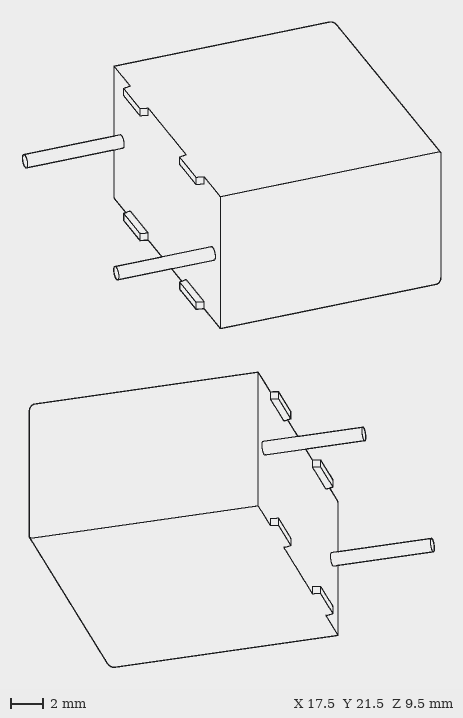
import cadquery as cq

housing_width = 17.5
housing_length = 15.0
housing_height = 9.5
back_fillet = 0.5

foot_pitch = 9.2
foot_root_width = 2.97
foot_tip_width = 2.7
foot_thickness = 0.52
foot_projection = 0.5

overall_length = 21.5
lead_diameter = 0.85
lead_pitch = 15.0
lead_length = overall_length - housing_length


def make_foot(x_center, z_bottom):
    """Tapered foot whose root lies on the terminal face."""
    half_root = foot_root_width / 2
    half_tip = foot_tip_width / 2
    return (
        cq.Workplane("XY", origin=(x_center, 0, z_bottom))
        .moveTo(-half_root, 0)
        .lineTo(-half_tip, -foot_projection)
        .lineTo(half_tip, -foot_projection)
        .lineTo(half_root, 0)
        .close()
        .extrude(foot_thickness)
    )


def make_housing():
    """Block with a rounded back face and four feet, as one solid."""
    body = (
        cq.Workplane("XY")
        .box(housing_width, housing_length, housing_height, centered=(True, False, True))
        .faces(">Y")
        .edges()
        .fillet(back_fillet)
    )
    lower_foot_z = -housing_height / 2
    upper_foot_z = housing_height / 2 - foot_thickness
    for x_center in (-foot_pitch / 2, foot_pitch / 2):
        for z_bottom in (lower_foot_z, upper_foot_z):
            body = body.union(make_foot(x_center, z_bottom))
    return body.clean().solids()


def make_lead(x_center):
    """Straight wire standing on the terminal face and pointing along -Y."""
    return (
        cq.Workplane("XZ", origin=(x_center, 0, 0))
        .circle(lead_diameter / 2)
        .extrude(lead_length)
    )


housing = make_housing()
leads = [make_lead(x_center) for x_center in (-lead_pitch / 2, lead_pitch / 2)]

result = cq.Compound.makeCompound([housing.val(), *[lead.val() for lead in leads]])